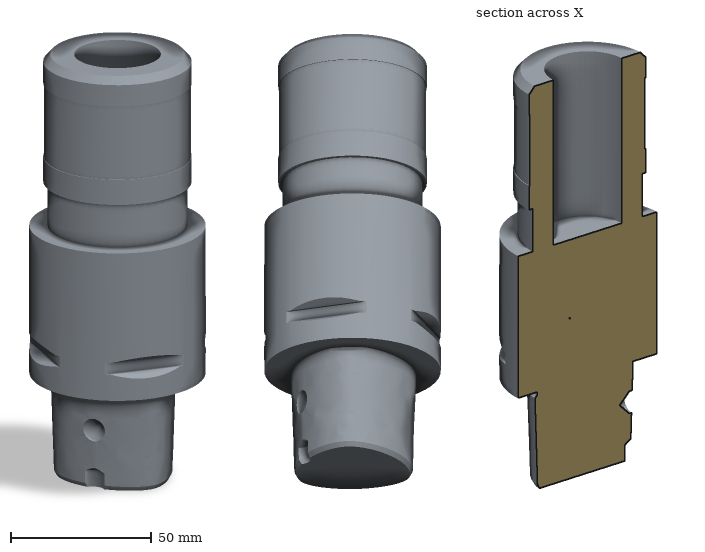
import cadquery as cq
import math

total_height = 158.0
collar_bottom = 37.9
collar_top = 93.5
neck_top = 110.1
lower_ring_top = 119.6
upper_ring_bottom = 147.3
head_chamfer_bottom = 155.3

collar_radius = 31.52
neck_radius = 25.0
ring_radius = 26.5
sleeve_radius = 26.2
face_radius = 24.0
bore_radius = 15.5

lobe_height = 1.6
lobe_count = 3
seat_radius = 22.3
shank_tip_radius = 21.2
shank_end_radius = 20.2
seat_bottom = 35.0
tip_chamfer_height = 1.7
outline_points = 48

relief_radius = 22.9
relief_height = 1.1

slot_count = 4
slot_floor_radius = 27.6
slot_flare_radius = 28.6
slot_center_height = 50.0
slot_floor_height = 4.3
slot_mouth_height = 8.0

drill_radius = 4.3
drill_tip_angle = 118.0
dimple_height = 22.5
dimple_straight_depth = 1.3
dimple_cone_depth = drill_radius
keyway_axis_distance = 21.3
keyway_straight_height = 6.3


def make_turned_body():
    """Collar, neck, ringed head and blind bore, revolved about Z."""
    profile = [
        (0, collar_bottom),
        (collar_radius, collar_bottom),
        (collar_radius, collar_top),
        (neck_radius, collar_top),
        (neck_radius, neck_top),
        (ring_radius, neck_top),
        (ring_radius, lower_ring_top),
        (sleeve_radius, lower_ring_top),
        (sleeve_radius, upper_ring_bottom),
        (ring_radius, upper_ring_bottom),
        (ring_radius, head_chamfer_bottom),
        (face_radius, total_height),
        (bore_radius, total_height),
        (bore_radius, collar_top),
        (0, collar_top),
    ]
    return cq.Workplane("XZ").polyline(profile).close().revolve(360, (0, 0), (0, 1))


def lobed_point(mean_radius, angle):
    """Point whose tangent lies mean_radius + lobe_height * cos(3 * angle) from the axis."""
    distance = mean_radius + lobe_height * math.cos(lobe_count * angle)
    slope = -lobe_count * lobe_height * math.sin(lobe_count * angle)
    x = distance * math.sin(angle) + slope * math.cos(angle)
    y = distance * math.cos(angle) - slope * math.sin(angle)
    return (x, y)


def lobed_section(bottom, top, bottom_radius, top_radius):
    """Solid between two lobed outlines with one lobe toward +Y."""
    angles = [2 * math.pi * i / outline_points for i in range(outline_points)]
    lower = [lobed_point(bottom_radius, angle) for angle in angles]
    upper = [lobed_point(top_radius, angle) for angle in angles]
    return (
        cq.Workplane("XY").workplane(offset=bottom)
        .spline(lower, periodic=True).close()
        .workplane(offset=top - bottom)
        .spline(upper, periodic=True).close()
        .loft(ruled=True, combine=True)
    )


def make_shank():
    tip = lobed_section(0, tip_chamfer_height, shank_end_radius, shank_tip_radius)
    taper = lobed_section(tip_chamfer_height, seat_bottom, shank_tip_radius, seat_radius)
    seat = lobed_section(seat_bottom, collar_bottom, seat_radius, seat_radius)
    relief_bottom = collar_bottom - relief_height
    flare = collar_radius - relief_radius
    relief = (
        cq.Workplane("XZ")
        .polyline([
            (relief_radius, relief_bottom),
            (collar_radius, relief_bottom - flare),
            (collar_radius, collar_bottom),
            (relief_radius, collar_bottom),
        ])
        .close()
        .revolve(360, (0, 0), (0, 1))
    )
    return tip.union(taper).union(seat.cut(relief))


def make_slot_cutter():
    """Wrench slot on the +X side, flat-floored, with its mouth flared outward."""
    half_floor = slot_floor_height / 2
    half_mouth = slot_mouth_height / 2
    return (
        cq.Workplane("XZ")
        .polyline([
            (slot_floor_radius, slot_center_height - half_floor),
            (slot_flare_radius, slot_center_height - half_floor),
            (collar_radius, slot_center_height - half_mouth),
            (collar_radius, slot_center_height + half_mouth),
            (slot_flare_radius, slot_center_height + half_floor),
            (slot_floor_radius, slot_center_height + half_floor),
        ])
        .close()
        .extrude(collar_radius, both=True)
    )


def make_keyway_cutter():
    """Vertical drilled groove with a conical end, open at the shank tip."""
    cone_height = drill_radius / math.tan(math.radians(drill_tip_angle / 2))
    profile = [
        (0, 0),
        (drill_radius, 0),
        (drill_radius, keyway_straight_height),
        (0, keyway_straight_height + cone_height),
    ]
    drill = cq.Workplane("XZ").polyline(profile).close().revolve(360, (0, 0), (0, 1))
    return drill.translate((0, -keyway_axis_distance, 0))


def make_dimple_cutter():
    """Blind hole with a conical end, its depth set from the local shank surface."""
    level = (dimple_height - tip_chamfer_height) / (seat_bottom - tip_chamfer_height)
    mean_radius = shank_tip_radius + level * (seat_radius - shank_tip_radius)
    surface_distance = mean_radius - lobe_height
    floor_distance = surface_distance - dimple_straight_depth
    profile = [
        (0, floor_distance - dimple_cone_depth),
        (drill_radius, floor_distance),
        (drill_radius, collar_radius),
        (0, collar_radius),
    ]
    drill = cq.Workplane("XZ").polyline(profile).close().revolve(360, (0, 0), (0, 1))
    return drill.rotate((0, 0, 0), (1, 0, 0), 90).translate((0, 0, dimple_height))


result = make_turned_body().union(make_shank())

slot_spacing = 360 / slot_count
for index in range(slot_count):
    slot_angle = (index + 0.5) * slot_spacing
    result = result.cut(make_slot_cutter().rotate((0, 0, 0), (0, 0, 1), slot_angle))

result = result.cut(make_keyway_cutter()).cut(make_dimple_cutter())